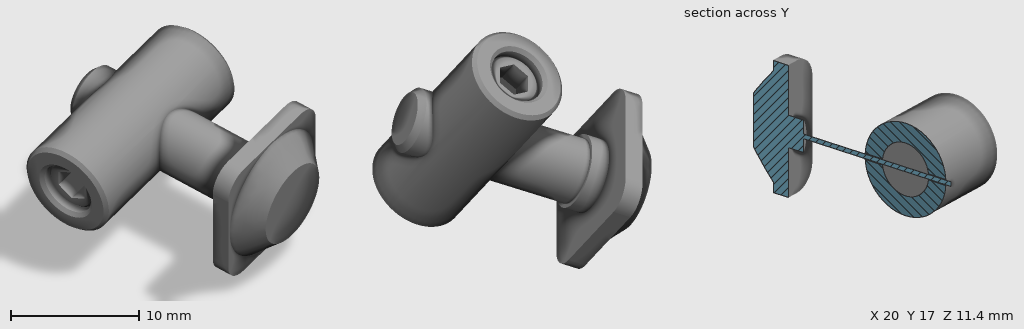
import cadquery as cq

stud_diameter = 5.3
stud_tip_x = -5.0
stud_tip_chamfer = 0.5
collar_diameter = 6.0
collar_length = 1.5
flange_width = 11.4
flange_thickness = 1.5
flange_corner_radius = 2.0
head_base_diameter = 11.0
head_end_diameter = 7.0
head_length = (head_base_diameter - head_end_diameter) / 2
stud_length = 20.0

head_end_x = stud_tip_x + stud_length
head_base_x = head_end_x - head_length
flange_x = head_base_x - flange_thickness
collar_x = flange_x - collar_length

sleeve_diameter = 8.0
sleeve_length = 17.0
sleeve_chamfer = 0.3
sleeve_offset = 1.0
sleeve_front_y = -sleeve_offset - sleeve_length / 2

screw_diameter = 4.5
screw_chamfer = 0.25
screw_recess = 0.8
bore_countersink = 0.3
socket_across_flats = 2.5
socket_depth = 2.0
hexagon_corners = 6

screw_face_y = sleeve_front_y + screw_recess
screw_tip_y = -stud_diameter / 2


def rod_along_x(diameter, start_x, end_x):
    return cq.Workplane("YZ", origin=(start_x, 0, 0)).circle(diameter / 2).extrude(end_x - start_x)


def rod_along_y(diameter, start_y, end_y):
    return cq.Workplane("XZ", origin=(0, start_y, 0)).circle(diameter / 2).extrude(start_y - end_y)


def make_stud():
    shank = rod_along_x(stud_diameter, stud_tip_x, flange_x).faces("<X").chamfer(stud_tip_chamfer)
    collar = rod_along_x(collar_diameter, collar_x, flange_x)
    flange = (
        cq.Workplane("YZ", origin=(flange_x, 0, 0))
        .rect(flange_width, flange_width)
        .extrude(flange_thickness)
        .edges("|X")
        .fillet(flange_corner_radius)
    )
    head = (
        cq.Workplane("YZ", origin=(head_base_x, 0, 0))
        .circle(head_base_diameter / 2)
        .workplane(offset=head_length)
        .circle(head_end_diameter / 2)
        .loft(ruled=True)
    )
    return shank.union(collar).union(flange).union(head)


def make_sleeve():
    body = rod_along_y(sleeve_diameter, sleeve_front_y, sleeve_front_y + sleeve_length)
    body = body.faces("<Y or >Y").chamfer(sleeve_chamfer)
    screw_bore = rod_along_y(screw_diameter, sleeve_front_y, 0)
    stud_bore = rod_along_x(stud_diameter, -sleeve_diameter, sleeve_diameter)
    body = body.cut(screw_bore)
    bore_rim = cq.selectors.RadiusNthSelector(0)
    body = body.faces("<Y").edges(bore_rim).chamfer(bore_countersink)
    return body.cut(stud_bore)


def make_set_screw():
    screw = rod_along_y(screw_diameter, screw_face_y, screw_tip_y).faces("<Y").chamfer(screw_chamfer)
    socket = (
        cq.Workplane("XZ", origin=(0, screw_face_y, 0))
        .polygon(hexagon_corners, socket_across_flats, circumscribed=True)
        .extrude(-socket_depth)
    )
    return screw.cut(socket)


stud = make_stud()
sleeve = make_sleeve()
set_screw = make_set_screw()

result = cq.Compound.makeCompound([body.solids().val() for body in (stud, sleeve, set_screw)])